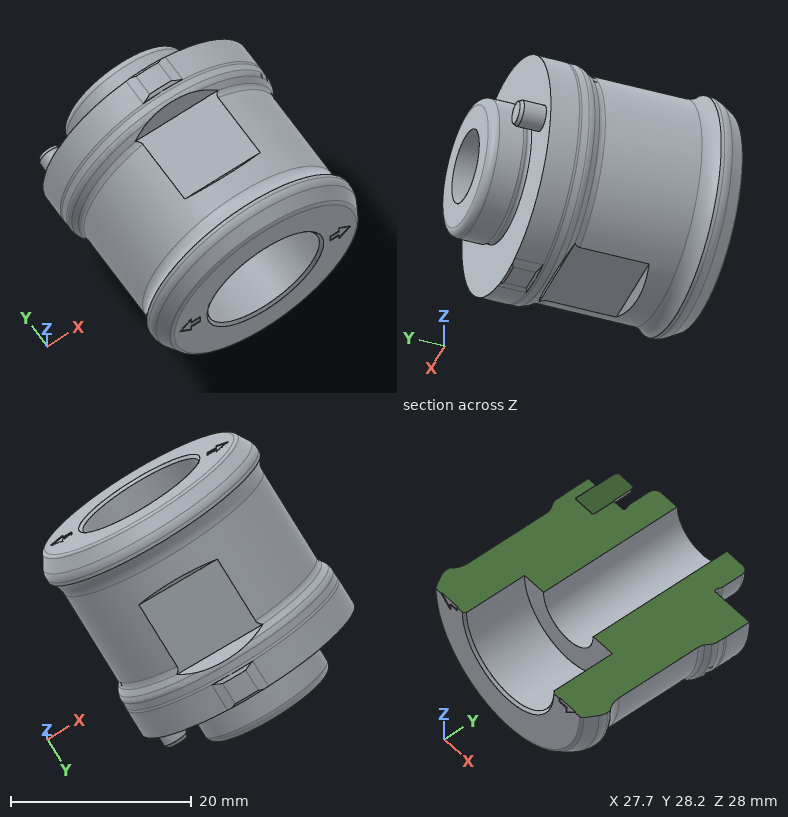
import cadquery as cq
import math

LENGTH = 28.2

BODY_DIA = 25.97
COLLAR_DIA = 27.6
FLANGE_DIA = 27.7
SPIGOT_DIA = 16.0

NOSE_COLLAR_START = 2.74
NOSE_COLLAR_END = 3.15
REAR_COLLAR_START = 18.8
REAR_COLLAR_END = 19.68
FLANGE_FRONT = 20.0
FLANGE_BACK = 23.38

SHOULDER_ANGLE = math.radians(30)
NOSE_RADIUS = 2.0
NOSE_EDGE_RADIUS = 0.5
COVE_RADIUS = 2.8
SHOULDER_RADIUS = 1.5
SPIGOT_EDGE_RADIUS = 1.0

RELIEF_TAPER_LENGTH = 0.45
RELIEF_LENGTH = 1.0
RELIEF_EDGE_DEPTH = 0.15
RELIEF_DEPTH = 0.23

BORE_DIA = 15.0
BORE_DEPTH = 8.75
BORE_CHAMFER = 0.35
THROUGH_DIA = 8.5

FLAT_HEIGHT = 11.95
FLAT_FRONT = 8.38
FLAT_BACK = 17.35

PAD_DIA = 28.0
PAD_TOP_WIDTH = 3.0
PAD_SLOPE = math.radians(16)
PAD_ROOT_HEIGHT = 13.25
PAD_FRONT_BEVEL = 0.45
PAD_BACK_BEVEL = 0.25
PAD_BEVEL_SLOPE = math.radians(20)

ARROW_TIP = 11.45
ARROW_NECK = 9.93
ARROW_TAIL = 8.75
ARROW_HEAD_WIDTH = 2.6
ARROW_SHAFT_WIDTH = 1.0
ARROW_DEPTH = 0.1

PIN_DIA = 3.0
PIN_OFFSET = -10.97
PIN_END = 26.42
PIN_CHAMFER_LENGTH = 0.42
PIN_CHAMFER_DEPTH = 0.23
PIN_HOLE_DEPTH = 3.0

TOP_AND_BOTTOM = (0, 180)


def revolve_about_y(profile):
    return profile.close().revolve(360, (0, 0, 0), (0, 1, 0))


def turn_about_y(shape, angle):
    return shape.rotate((0, 0, 0), (0, 1, 0), angle)


def arc_point(center, radius, angle):
    """Point (radius from axis, position) at an angle from the outward radial direction towards +Y."""
    return (center[0] + radius * math.cos(angle), center[1] + radius * math.sin(angle))


def add_arc(profile, center, radius, start, end):
    """Extend a profile by an arc that begins at the profile's current point."""
    return profile.threePointArc(
        arc_point(center, radius, (start + end) / 2),
        arc_point(center, radius, end),
    )


def turned_body():
    body_r = BODY_DIA / 2
    collar_r = COLLAR_DIA / 2
    flange_r = FLANGE_DIA / 2
    spigot_r = SPIGOT_DIA / 2
    face_down = -math.pi / 2

    nose_center = (collar_r - NOSE_RADIUS, NOSE_COLLAR_START)
    cone_end = arc_point(nose_center, NOSE_RADIUS, -SHOULDER_ANGLE)
    edge_tangent_y = NOSE_EDGE_RADIUS * (1 - math.sin(SHOULDER_ANGLE))
    cone_start_r = cone_end[0] - (cone_end[1] - edge_tangent_y) * math.tan(SHOULDER_ANGLE)
    edge_center = (cone_start_r - NOSE_EDGE_RADIUS * math.cos(SHOULDER_ANGLE), NOSE_EDGE_RADIUS)

    profile = cq.Workplane("XY").moveTo(0, 0).lineTo(edge_center[0], 0)
    profile = add_arc(profile, edge_center, NOSE_EDGE_RADIUS, face_down, -SHOULDER_ANGLE)
    profile = profile.lineTo(*cone_end)
    profile = add_arc(profile, nose_center, NOSE_RADIUS, -SHOULDER_ANGLE, 0)
    profile = profile.lineTo(collar_r, NOSE_COLLAR_END)

    cove_sweep = math.acos(1 - (collar_r - body_r) / COVE_RADIUS)
    cove_center = (body_r + COVE_RADIUS, NOSE_COLLAR_END + COVE_RADIUS * math.sin(cove_sweep))
    profile = add_arc(profile, cove_center, COVE_RADIUS, math.pi + cove_sweep, math.pi)

    rise = collar_r - body_r
    rounding_rise = SHOULDER_RADIUS * (1 - math.cos(SHOULDER_ANGLE))
    rounding_length = SHOULDER_RADIUS * math.sin(SHOULDER_ANGLE)
    cone_length = (rise - 2 * rounding_rise) / math.tan(SHOULDER_ANGLE)
    shoulder_start = REAR_COLLAR_START - cone_length - 2 * rounding_length
    foot_center = (body_r + SHOULDER_RADIUS, shoulder_start)
    crown_center = (collar_r - SHOULDER_RADIUS, REAR_COLLAR_START)
    profile = profile.lineTo(body_r, shoulder_start)
    profile = add_arc(profile, foot_center, SHOULDER_RADIUS, math.pi, math.pi - SHOULDER_ANGLE)
    profile = profile.lineTo(*arc_point(crown_center, SHOULDER_RADIUS, -SHOULDER_ANGLE))
    profile = add_arc(profile, crown_center, SHOULDER_RADIUS, -SHOULDER_ANGLE, 0)

    profile = (
        profile.lineTo(collar_r, REAR_COLLAR_END)
        .lineTo(flange_r, FLANGE_FRONT)
        .lineTo(flange_r, FLANGE_BACK)
    )

    relief_end = FLANGE_BACK + RELIEF_LENGTH
    groove_edge_y = relief_end - RELIEF_TAPER_LENGTH
    groove_edge_r = spigot_r - RELIEF_EDGE_DEPTH
    end_center = (spigot_r - SPIGOT_EDGE_RADIUS, LENGTH - SPIGOT_EDGE_RADIUS)
    profile = (
        profile.lineTo(groove_edge_r, FLANGE_BACK)
        .threePointArc(
            (spigot_r - RELIEF_DEPTH, (FLANGE_BACK + groove_edge_y) / 2),
            (groove_edge_r, groove_edge_y),
        )
        .lineTo(spigot_r, relief_end)
        .lineTo(spigot_r, end_center[1])
    )
    profile = add_arc(profile, end_center, SPIGOT_EDGE_RADIUS, 0, math.pi / 2)
    return revolve_about_y(profile.lineTo(0, LENGTH))


def stepped_bore():
    bore_r = BORE_DIA / 2
    through_r = THROUGH_DIA / 2
    profile = (
        cq.Workplane("XY")
        .moveTo(0, 0)
        .lineTo(bore_r + BORE_CHAMFER, 0)
        .lineTo(bore_r, BORE_CHAMFER)
        .lineTo(bore_r, BORE_DEPTH)
        .lineTo(through_r, BORE_DEPTH)
        .lineTo(through_r, LENGTH)
        .lineTo(0, LENGTH)
    )
    return revolve_about_y(profile)


def wrench_flat():
    """Cutter above the top flat, with end walls that lean outwards."""
    wall_height = FLANGE_DIA / 2 - FLAT_HEIGHT
    wall_run = wall_height * math.tan(SHOULDER_ANGLE)
    return (
        cq.Workplane("YZ")
        .moveTo(FLAT_FRONT, FLAT_HEIGHT)
        .lineTo(FLAT_BACK, FLAT_HEIGHT)
        .lineTo(FLAT_BACK + wall_run, FLAT_HEIGHT + wall_height)
        .lineTo(FLAT_FRONT - wall_run, FLAT_HEIGHT + wall_height)
        .close()
        .extrude(BODY_DIA / 2, both=True)
    )


def flange_pad():
    """Raised pad on top of the flange: a ring with bevelled ends, trimmed by sloping sides."""
    pad_r = PAD_DIA / 2
    front_drop = PAD_FRONT_BEVEL * math.tan(PAD_BEVEL_SLOPE)
    back_drop = PAD_BACK_BEVEL * math.tan(PAD_BEVEL_SLOPE)
    ring = revolve_about_y(
        cq.Workplane("XY")
        .moveTo(PAD_ROOT_HEIGHT, FLANGE_FRONT)
        .lineTo(pad_r - front_drop, FLANGE_FRONT)
        .lineTo(pad_r, FLANGE_FRONT + PAD_FRONT_BEVEL)
        .lineTo(pad_r, FLANGE_BACK - PAD_BACK_BEVEL)
        .lineTo(pad_r - back_drop, FLANGE_BACK)
        .lineTo(PAD_ROOT_HEIGHT, FLANGE_BACK)
    )

    half_top = PAD_TOP_WIDTH / 2
    edge_z = math.sqrt(pad_r**2 - half_top**2)
    half_base = half_top + (edge_z - PAD_ROOT_HEIGHT) / math.tan(PAD_SLOPE)
    half_peak = half_top - (pad_r - edge_z) / math.tan(PAD_SLOPE)
    section = [
        (-half_base, PAD_ROOT_HEIGHT),
        (half_base, PAD_ROOT_HEIGHT),
        (half_peak, pad_r),
        (-half_peak, pad_r),
    ]
    sides = (
        cq.Workplane("XZ", origin=(0, FLANGE_BACK, 0))
        .polyline(section)
        .close()
        .extrude(FLANGE_BACK - FLANGE_FRONT)
    )
    return ring.intersect(sides)


def direction_arrow():
    """Cutter for the arrow that points along +X."""
    half_head = ARROW_HEAD_WIDTH / 2
    half_shaft = ARROW_SHAFT_WIDTH / 2
    outline = [
        (ARROW_TAIL, -half_shaft),
        (ARROW_NECK, -half_shaft),
        (ARROW_NECK, -half_head),
        (ARROW_TIP, 0),
        (ARROW_NECK, half_head),
        (ARROW_NECK, half_shaft),
        (ARROW_TAIL, half_shaft),
    ]
    return cq.Workplane("XZ").polyline(outline).close().extrude(-ARROW_DEPTH)


def pin_hole():
    return (
        cq.Workplane("XZ", origin=(PIN_OFFSET, FLANGE_BACK, 0))
        .circle(PIN_DIA / 2)
        .extrude(PIN_HOLE_DEPTH)
    )


def make_housing():
    housing = turned_body()
    for angle in TOP_AND_BOTTOM:
        housing = housing.union(turn_about_y(flange_pad(), angle))
        housing = housing.cut(turn_about_y(wrench_flat(), angle))
        housing = housing.cut(turn_about_y(direction_arrow(), angle))
    return housing.cut(stepped_bore()).cut(pin_hole())


def make_pin():
    """Pin that fills its hole in the flange and has a chamfered free end."""
    pin_r = PIN_DIA / 2
    pin_start = FLANGE_BACK - PIN_HOLE_DEPTH
    profile = (
        cq.Workplane("XY")
        .moveTo(0, pin_start)
        .lineTo(pin_r, pin_start)
        .lineTo(pin_r, PIN_END - PIN_CHAMFER_LENGTH)
        .lineTo(pin_r - PIN_CHAMFER_DEPTH, PIN_END)
        .lineTo(0, PIN_END)
    )
    return revolve_about_y(profile).translate((PIN_OFFSET, 0, 0))


housing = make_housing()
locating_pin = make_pin()

result = cq.Compound.makeCompound([housing.val(), locating_pin.val()])